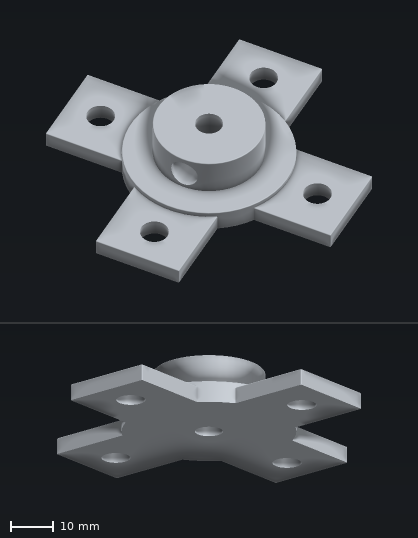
import cadquery as cq

SPAN = 75.2
TOTAL_HEIGHT = 14.41

ARM_WIDTH = 22.0
ARM_THICKNESS = 4.0
ARM_HOLE_DIAMETER = 6.8
ARM_HOLE_RADIUS = 28.6

DISC_DIAMETER = 41.18
DISC_RISE = 1.27
DISC_HEIGHT = ARM_THICKNESS + DISC_RISE
HUB_DIAMETER = 26.62
BORE_DIAMETER = 6.6

SIDE_HOLE_DIAMETER = 7.0
SIDE_HOLE_DROP = 4.76
SIDE_HOLE_HEIGHT = TOTAL_HEIGHT - SIDE_HOLE_DROP

EDGE_FILLET = 0.254


def make_arm_bar(length_x, length_y):
    """Flat bar spanning two opposite arms, with rounded top and corner edges."""
    bar = cq.Workplane("XY").box(length_x, length_y, ARM_THICKNESS, centered=(True, True, False))
    return bar.edges("|Z or >Z").fillet(EDGE_FILLET)


def make_disc(diameter, height):
    """Round step standing on the bottom plane, with a rounded top edge."""
    return cq.Workplane("XY").circle(diameter / 2).extrude(height).faces(">Z").edges().fillet(EDGE_FILLET)


def make_arm_holes():
    """Vertical through-holes, one in each arm."""
    holes = cq.Workplane("XY").polarArray(ARM_HOLE_RADIUS, 0, 360, 4)
    return holes.circle(ARM_HOLE_DIAMETER / 2).extrude(ARM_THICKNESS)


def make_bore():
    """Central through-bore."""
    return cq.Workplane("XY").circle(BORE_DIAMETER / 2).extrude(TOTAL_HEIGHT)


def make_side_hole():
    """Horizontal hole running from the part axis out through the -Y side of the hub."""
    hole = cq.Workplane("XZ").center(0, SIDE_HOLE_HEIGHT).circle(SIDE_HOLE_DIAMETER / 2)
    return hole.extrude(HUB_DIAMETER / 2)


base = make_arm_bar(SPAN, ARM_WIDTH).union(make_arm_bar(ARM_WIDTH, SPAN))
body = base.union(make_disc(DISC_DIAMETER, DISC_HEIGHT)).union(make_disc(HUB_DIAMETER, TOTAL_HEIGHT))
result = body.cut(make_arm_holes()).cut(make_bore()).cut(make_side_hole())